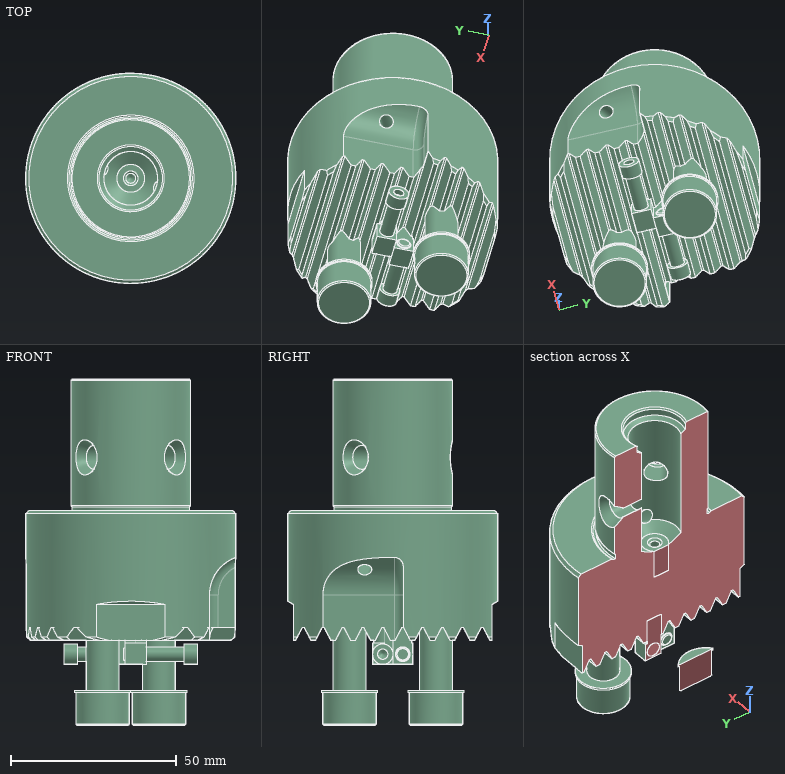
import cadquery as cq
import math


HEAD_RADIUS = 31.75
HEAD_HEIGHT = 39.2
HEAD_CHAMFER = 1.0
HEAD_BOTTOM = -HEAD_HEIGHT

SHANK_RADIUS = 18.1
SHANK_HEIGHT = 39.6
SHANK_CHAMFER = 0.4
NECK_RADIUS = 17.8
NECK_HEIGHT = 1.1
RELIEF_INNER_RADIUS = 18.6
RELIEF_OUTER_RADIUS = 19.1
RELIEF_DEPTH = 0.5

COUNTERBORE_RADIUS = 9.6
COUNTERBORE_CHAMFER = 0.5
COUNTERBORE_DEPTH = 2.8
BORE_RADIUS = 8.1
BORE_FLOOR = -2.8
DRILL_POINT_ANGLE = 118.0

PLUG_RADIUS = 4.2
PLUG_LENGTH = 10.0
PLUG_SOCKET_RADIUS = 1.5
PLUG_SOCKET_DEPTH = 3.0
PLUG_SOCKET_CHAMFER = 0.7

DRIVE_ANGLES = (90.0, 220.0, 320.0)
DRIVE_Z = 16.0
DRIVE_OUTER_RADIUS = 5.3
DRIVE_INNER_RADIUS = 3.6
DRIVE_CONE_END = 14.5

FLAT_DISTANCE = 30.0
FLAT_HEIGHT = 10.8
FLAT_RUNOUT_ANGLE = 30.0

POCKET_FLOOR = 23.75
POCKET_WALL = 3.2
POCKET_STRAIGHT_HEIGHT = 13.7
POCKET_ROOF_RADIUS = 12.0
POCKET_FILLET = 2.65
POCKET_EDGE_MARGIN = 1.0

COOLANT_RADIUS = 2.05
COOLANT_Y = 8.45
COOLANT_Z = HEAD_BOTTOM + 21.4
COOLANT_RISE_ANGLE = 40.0
COOLANT_OVERRUN = 2.65

GROOVE_PITCH = 6.0
GROOVE_COUNT = 10
GROOVE_DEPTH = 3.8
GROOVE_ROOF_WIDTH = 0.6
GROOVE_ANGLE = 55.0

SCREW_X = 8.5
SCREW_Y = 13.05
SCREW_RADIUS = 5.0
SCREW_BOTTOM = -64.9
SCREW_HEAD_RADIUS = 8.1
SCREW_HEAD_CHAMFER = 0.4
SCREW_SEAT_Z = -54.3
SCREW_COLLAR_RADIUS = 8.5
SCREW_COLLAR_THICKNESS = 0.7
SCREW_ENTRY = 10.0

BLOCK_WIDTH = 6.05
BLOCK_HEIGHT = 6.5
BLOCK_GAP = 0.75
BLOCK_OUTER_X = 4.75
BLOCK_INNER_X = 1.8
BLOCK_NECK_WIDTH = 5.75
BLOCK_NECK_FILLET = 3.3
BLOCK_NECK_ENTRY = 8.0
BOLT_Y = BLOCK_WIDTH / 2
BOLT_Z = HEAD_BOTTOM - 4.2
BOLT_RADIUS = 2.2
BOLT_HEAD_RADIUS = 3.1
BOLT_HEAD_LENGTH = 4.1
BOLT_END_X = 20.15
BOLT_TIP_PROJECTION = 0.35
BOLT_TIP_CHAMFER = 0.5
BOLT_SOCKET_RADIUS = 1.55
BOLT_SOCKET_DEPTH = 2.0


def rise(run, angle):
    """Height gained over a level run at an angle in degrees."""
    return run * math.tan(math.radians(angle))


def drill_tip(radius):
    """Length of a drill point of the given radius."""
    return radius / math.tan(math.radians(DRILL_POINT_ANGLE / 2))


def half_turn(body):
    """Copy of a body turned half round the Z axis."""
    return body.rotate((0, 0, 0), (0, 0, 1), 180)


PLUG_TOP = BORE_FLOOR - drill_tip(BORE_RADIUS - PLUG_RADIUS)
BOLT_TIP_X = BLOCK_INNER_X + BOLT_TIP_PROJECTION


def turned_blank():
    """Head, relief groove, neck and shank as one turned solid with its bore."""
    shank_foot = NECK_HEIGHT + SHANK_CHAMFER
    counterbore_z = SHANK_HEIGHT - COUNTERBORE_DEPTH
    mouth_radius = COUNTERBORE_RADIUS + COUNTERBORE_CHAMFER
    profile = [
        (0, HEAD_BOTTOM),
        (HEAD_RADIUS - HEAD_CHAMFER, HEAD_BOTTOM),
        (HEAD_RADIUS, HEAD_BOTTOM + HEAD_CHAMFER),
        (HEAD_RADIUS, -HEAD_CHAMFER),
        (HEAD_RADIUS - HEAD_CHAMFER, 0),
        (RELIEF_OUTER_RADIUS, 0),
        (RELIEF_INNER_RADIUS, -RELIEF_DEPTH),
        (NECK_RADIUS, -RELIEF_DEPTH),
        (NECK_RADIUS, NECK_HEIGHT),
        (SHANK_RADIUS, shank_foot),
        (SHANK_RADIUS, SHANK_HEIGHT - SHANK_CHAMFER),
        (SHANK_RADIUS - SHANK_CHAMFER, SHANK_HEIGHT),
        (mouth_radius, SHANK_HEIGHT),
        (COUNTERBORE_RADIUS, SHANK_HEIGHT - COUNTERBORE_CHAMFER),
        (COUNTERBORE_RADIUS, counterbore_z),
        (BORE_RADIUS, counterbore_z - drill_tip(COUNTERBORE_RADIUS - BORE_RADIUS)),
        (BORE_RADIUS, BORE_FLOOR),
        (PLUG_RADIUS, PLUG_TOP),
        (PLUG_RADIUS, PLUG_TOP - PLUG_LENGTH),
        (0, PLUG_TOP - PLUG_LENGTH),
    ]
    return cq.Workplane("XZ").polyline(profile).close().revolve(360, (0, 0, 0), (0, 1, 0))


def drive_recess(angle):
    """Tapered radial recess with a round hole leading on into the bore."""
    profile = [
        (0, 0),
        (0, DRIVE_INNER_RADIUS),
        (DRIVE_CONE_END, DRIVE_INNER_RADIUS),
        (SHANK_RADIUS, DRIVE_OUTER_RADIUS),
        (SHANK_RADIUS, 0),
    ]
    recess = cq.Workplane("XZ").polyline(profile).close().revolve(360, (0, 0, 0), (1, 0, 0))
    return recess.translate((0, 0, DRIVE_Z)).rotate((0, 0, 0), (0, 0, 1), angle)


def flat_cutter():
    """Removes the flat at -Y, with a sloping run-out above it."""
    depth = HEAD_RADIUS - FLAT_DISTANCE
    top = HEAD_BOTTOM + FLAT_HEIGHT
    profile = [
        (-HEAD_RADIUS, HEAD_BOTTOM),
        (-FLAT_DISTANCE, HEAD_BOTTOM),
        (-FLAT_DISTANCE, top),
        (-HEAD_RADIUS, top + rise(depth, FLAT_RUNOUT_ANGLE)),
    ]
    return cq.Workplane("YZ").polyline(profile).close().extrude(HEAD_RADIUS, both=True)


def pocket_cutter():
    """Removes the -X pocket: flat floor, arched roof and a filleted end wall."""
    arc_start_z = HEAD_BOTTOM + POCKET_STRAIGHT_HEIGHT
    arc_centre_x = -POCKET_FLOOR - POCKET_ROOF_RADIUS
    diagonal = POCKET_ROOF_RADIUS * math.sqrt(0.5)
    cutter_bottom = HEAD_BOTTOM - POCKET_ROOF_RADIUS
    cutter = (
        cq.Workplane("XZ", origin=(0, -POCKET_WALL, 0))
        .moveTo(arc_centre_x, cutter_bottom)
        .lineTo(-POCKET_FLOOR, cutter_bottom)
        .lineTo(-POCKET_FLOOR, arc_start_z)
        .threePointArc(
            (arc_centre_x + diagonal, arc_start_z + diagonal),
            (arc_centre_x, arc_start_z + POCKET_ROOF_RADIUS),
        )
        .close()
        .extrude(-HEAD_RADIUS)
    )
    inner_corner = cq.selectors.BoxSelector(
        (arc_centre_x + POCKET_EDGE_MARGIN, -POCKET_WALL - POCKET_EDGE_MARGIN, HEAD_BOTTOM),
        (-POCKET_FLOOR + POCKET_EDGE_MARGIN, -POCKET_WALL + POCKET_EDGE_MARGIN, 0),
    )
    return cutter.edges(inner_corner).fillet(POCKET_FILLET)


def coolant_hole():
    """Inclined hole rising from the -X pocket roof towards the axis."""
    roof_rise = COOLANT_Z - HEAD_BOTTOM - POCKET_STRAIGHT_HEIGHT
    roof_run = POCKET_ROOF_RADIUS - math.sqrt(POCKET_ROOF_RADIUS**2 - roof_rise**2)
    start = cq.Vector(-POCKET_FLOOR - roof_run, COOLANT_Y, COOLANT_Z)
    to_axis = math.hypot(start.x, start.y)
    direction = cq.Vector(-start.x, -start.y, rise(to_axis, COOLANT_RISE_ANGLE)).normalized()
    level_run = to_axis - BORE_RADIUS / 2
    length = level_run / math.cos(math.radians(COOLANT_RISE_ANGLE)) + COOLANT_OVERRUN
    hole = cq.Solid.makeCylinder(COOLANT_RADIUS, length, start - direction * COOLANT_OVERRUN, direction)
    return cq.Workplane(obj=hole)


def serrations():
    """Parallel V grooves running along X in the bottom face of the head."""
    roof_half = GROOVE_ROOF_WIDTH / 2
    mouth_half = roof_half + rise(GROOVE_DEPTH, GROOVE_ANGLE / 2)
    roof_z = HEAD_BOTTOM + GROOVE_DEPTH
    grooves = cq.Workplane("YZ")
    for index in range(GROOVE_COUNT):
        y = (index - (GROOVE_COUNT - 1) / 2) * GROOVE_PITCH
        grooves = grooves.polyline(
            [
                (y - mouth_half, HEAD_BOTTOM),
                (y - roof_half, roof_z),
                (y + roof_half, roof_z),
                (y + mouth_half, HEAD_BOTTOM),
            ]
        ).close()
    return grooves.extrude(HEAD_RADIUS, both=True)


def make_head(inserted_bodies):
    head = turned_blank()
    for angle in DRIVE_ANGLES:
        head = head.cut(drive_recess(angle))
    for cutter in (flat_cutter(), pocket_cutter(), coolant_hole()):
        head = head.cut(cutter).cut(half_turn(cutter))
    head = head.cut(serrations())
    for body in inserted_bodies:
        head = head.cut(body)
    return head


def make_plug():
    """Grub screw at the bottom of the bore, with a chamfered round socket."""
    socket_floor = PLUG_TOP - PLUG_SOCKET_DEPTH
    profile = [
        (0, PLUG_TOP - PLUG_LENGTH),
        (PLUG_RADIUS, PLUG_TOP - PLUG_LENGTH),
        (PLUG_RADIUS, PLUG_TOP),
        (PLUG_SOCKET_RADIUS + PLUG_SOCKET_CHAMFER, PLUG_TOP),
        (PLUG_SOCKET_RADIUS, PLUG_TOP - PLUG_SOCKET_CHAMFER),
        (PLUG_SOCKET_RADIUS, socket_floor),
        (0, socket_floor - drill_tip(PLUG_SOCKET_RADIUS)),
    ]
    return cq.Workplane("XZ").polyline(profile).close().revolve(360, (0, 0, 0), (0, 1, 0))


def make_clamp_screw(x, y):
    collar_bottom = SCREW_SEAT_Z - SCREW_COLLAR_THICKNESS
    shank_top = HEAD_BOTTOM + SCREW_ENTRY
    profile = [
        (0, SCREW_BOTTOM),
        (SCREW_HEAD_RADIUS - SCREW_HEAD_CHAMFER, SCREW_BOTTOM),
        (SCREW_HEAD_RADIUS, SCREW_BOTTOM + SCREW_HEAD_CHAMFER),
        (SCREW_HEAD_RADIUS, collar_bottom),
        (SCREW_COLLAR_RADIUS, collar_bottom),
        (SCREW_COLLAR_RADIUS, SCREW_SEAT_Z),
        (SCREW_RADIUS, SCREW_SEAT_Z),
        (SCREW_RADIUS, shank_top),
        (0, shank_top),
    ]
    screw = cq.Workplane("XZ").polyline(profile).close().revolve(360, (0, 0, 0), (0, 1, 0))
    return screw.translate((x, y, 0))


def make_bolt():
    """Bolt lying along X in the +Y block, its socket head towards -X."""
    head_end = -BOLT_END_X + BOLT_HEAD_LENGTH
    socket_floor = -BOLT_END_X + BOLT_SOCKET_DEPTH
    profile = [
        (-BOLT_END_X, BOLT_SOCKET_RADIUS),
        (-BOLT_END_X, BOLT_HEAD_RADIUS),
        (head_end, BOLT_HEAD_RADIUS),
        (head_end, BOLT_RADIUS),
        (BOLT_TIP_X - BOLT_TIP_CHAMFER, BOLT_RADIUS),
        (BOLT_TIP_X, BOLT_RADIUS - BOLT_TIP_CHAMFER),
        (BOLT_TIP_X, 0),
        (socket_floor + drill_tip(BOLT_SOCKET_RADIUS), 0),
        (socket_floor, BOLT_SOCKET_RADIUS),
    ]
    bolt = cq.Workplane("XZ").polyline(profile).close().revolve(360, (0, 0, 0), (1, 0, 0))
    return bolt.translate((0, BOLT_Y, BOLT_Z))


def make_block(bolt):
    """Block on the +Y side, with a neck, rounded at one corner, entering the head."""
    length = BLOCK_OUTER_X + BLOCK_INNER_X
    block_top = HEAD_BOTTOM - BLOCK_GAP
    neck_height = BLOCK_GAP + BLOCK_NECK_ENTRY
    base = (
        cq.Workplane("XY", origin=(-BLOCK_OUTER_X, 0, block_top - BLOCK_HEIGHT))
        .box(length, BLOCK_WIDTH, BLOCK_HEIGHT, centered=False)
    )
    neck = (
        cq.Workplane("XY", origin=(-BLOCK_OUTER_X, 0, block_top))
        .box(length, BLOCK_NECK_WIDTH, neck_height, centered=False)
        .edges("|Z and <X and >Y")
        .fillet(BLOCK_NECK_FILLET)
    )
    return base.union(neck).cut(bolt)


plug = make_plug()
clamp_screws = [make_clamp_screw(side * SCREW_X, side * SCREW_Y) for side in (-1, 1)]
bolt = make_bolt()
block = make_block(bolt)
bolts = [bolt, half_turn(bolt)]
blocks = [block, half_turn(block)]
head = make_head(clamp_screws + blocks)

bodies = [head, plug, *clamp_screws, *blocks, *bolts]
result = cq.Compound.makeCompound([body.val() for body in bodies])